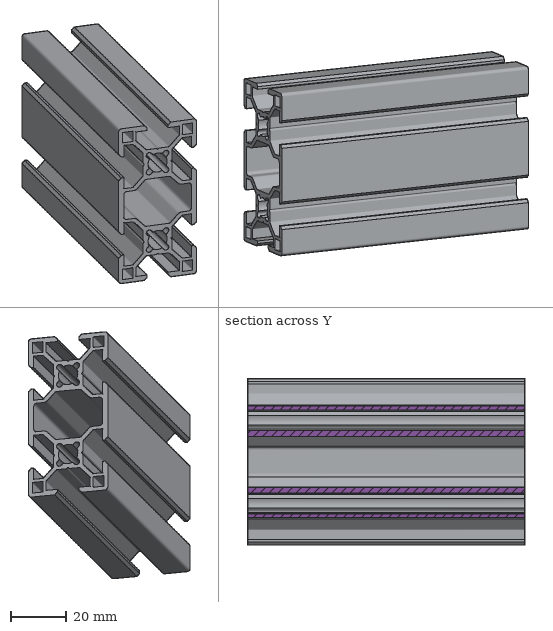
import cadquery as cq

length = 100.0
cell = 30.0
half_cell = cell / 2
height = 2 * cell
corner_radius = 1.2

slot_opening = 8.1
lip_thickness = 2.0
lip_bevel = 1.05
pocket_half_width = 8.35
core_half_width = 5.55
web_offset = 1.2
notch_depth = 0.5
inner_radius = 0.25

hollow_size = 4.0
hollow_wall = 1.5

bore_radius = 3.65
lobe_width = 2.1
lobe_reach = 5.65

shelf_thickness = 1.25
cavity_core_half_width = 5.9
cavity_wall_radius = 1.2
shelf_knee_radius = 2.0
roof_knee_radius = 1.0

cell_centres = [(0, half_cell), (0, -half_cell)]


def profile_plane():
    """Workplane on the -X end: local x runs along Y, local y along Z."""
    return cq.Workplane("YZ", origin=(-length / 2, 0, 0))


def make_blank():
    blank = profile_plane().rect(cell, height).extrude(length)
    return blank.edges("|X").fillet(corner_radius)


def make_slot():
    """T-slot opening upward, for a cell centred on the X axis, with a V notch in its floor."""
    lip_end = slot_opening / 2
    lip_top = lip_end + lip_bevel
    lip_bottom = half_cell - lip_thickness
    pocket_corner = pocket_half_width + web_offset
    floor_end = core_half_width - web_offset
    bevel_end = half_cell - lip_bevel
    slot = (
        profile_plane()
        .moveTo(-lip_top, half_cell)
        .lineTo(-lip_end, bevel_end)
        .lineTo(-lip_end, lip_bottom)
        .lineTo(-pocket_half_width, lip_bottom)
        .lineTo(-pocket_half_width, pocket_corner)
        .lineTo(-floor_end, core_half_width)
        .lineTo(-notch_depth, core_half_width)
        .lineTo(0, core_half_width - notch_depth)
        .lineTo(notch_depth, core_half_width)
        .lineTo(floor_end, core_half_width)
        .lineTo(pocket_half_width, pocket_corner)
        .lineTo(pocket_half_width, lip_bottom)
        .lineTo(lip_end, lip_bottom)
        .lineTo(lip_end, bevel_end)
        .lineTo(lip_top, half_cell)
        .close()
        .extrude(length)
    )
    below_lips = cq.selectors.BoxSelector((-length, -cell, 0), (length, cell, lip_bottom - inner_radius))
    return slot.edges("|X").edges(below_lips).fillet(inner_radius)


def cut_slots(body):
    """Slots on both sides of each cell, plus one on the top and one on the bottom."""
    slot = make_slot()
    for centre_z, angles in ((half_cell, (0, 90, -90)), (-half_cell, (180, 90, -90))):
        for angle in angles:
            turned = slot.rotate((0, 0, 0), (1, 0, 0), angle)
            body = body.cut(turned.translate((0, 0, centre_z)))
    return body


def make_corner_hollows():
    inset = hollow_wall + hollow_size / 2
    return (
        profile_plane()
        .rect(cell - 2 * inset, height - 2 * inset, forConstruction=True)
        .vertices()
        .rect(hollow_size, hollow_size)
        .extrude(length)
        .edges("|X")
        .fillet(inner_radius)
    )


def make_bores():
    bores = profile_plane().pushPoints(cell_centres).circle(bore_radius).extrude(length)
    for angle in (45, -45):
        lobes = (
            profile_plane()
            .pushPoints(cell_centres)
            .slot2D(2 * lobe_reach, lobe_width, angle)
            .extrude(length)
        )
        bores = bores.union(lobes)
    return bores


def span_about_middle(half_width):
    """Selector for everything whose centre lies within half_width of the XZ plane."""
    return cq.selectors.BoxSelector((-length, -half_width, -height), (length, half_width, height))


def make_cavity():
    """Twelve-cornered chamber that follows the webs and cores of both cells."""
    wall = half_cell - lip_thickness
    shelf = half_cell - pocket_half_width - shelf_thickness
    knee = half_cell - shelf - web_offset
    roof = half_cell - cavity_core_half_width
    roof_end = cavity_core_half_width - web_offset
    upper_half = [(-wall, shelf), (-knee, shelf), (-roof_end, roof),
                  (roof_end, roof), (knee, shelf), (wall, shelf)]
    lower_half = [(-y, -z) for y, z in upper_half]
    cavity = profile_plane().polyline(upper_half + lower_half).close().extrude(length)

    roof_edges = span_about_middle((roof_end + knee) / 2)
    shelf_edges = span_about_middle((knee + wall - cavity_wall_radius) / 2) - roof_edges
    cavity = cavity.edges("|X and (<Y or >Y)").fillet(cavity_wall_radius)
    cavity = cavity.edges("|X").edges(roof_edges).fillet(roof_knee_radius)
    return cavity.edges("|X").edges(shelf_edges).fillet(shelf_knee_radius)


result = (
    cut_slots(make_blank())
    .cut(make_corner_hollows())
    .cut(make_bores())
    .cut(make_cavity())
)